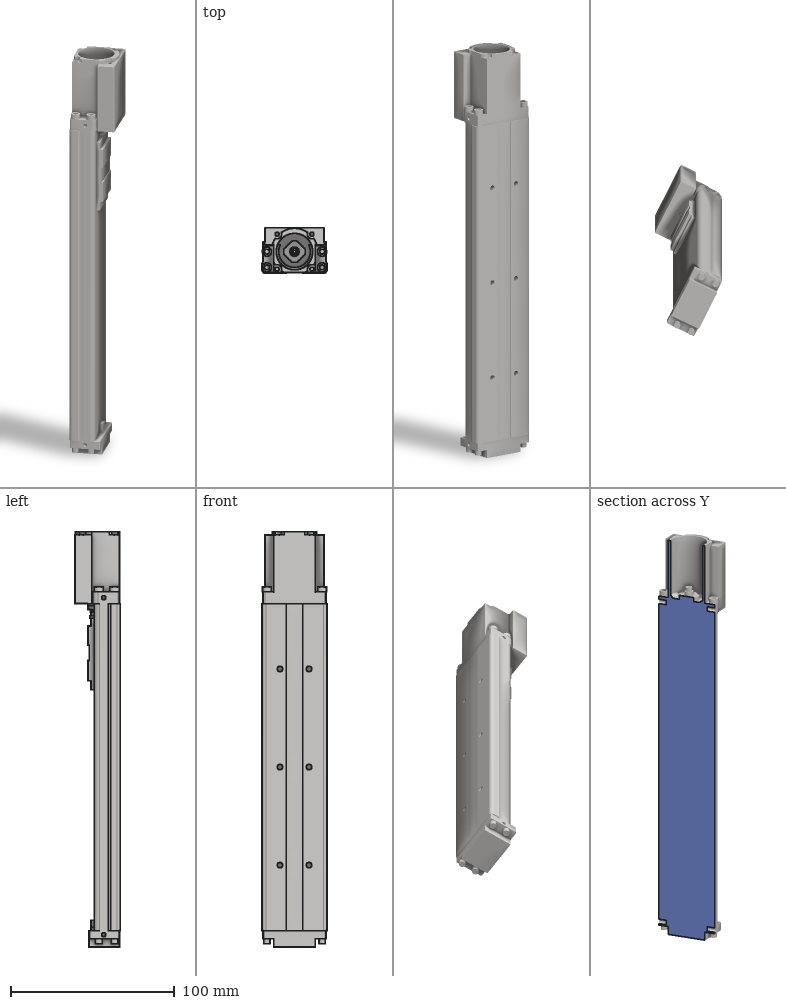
import cadquery as cq
TOTAL_LENGTH = 254.0
TOTAL_DEPTH = 28.0
RAIL_BOTTOM = 10.2
RAIL_TOP = 210.0
RAIL_CENTER = (RAIL_BOTTOM + RAIL_TOP) / 2

RAIL_FOOT_HALF = 19.95
RAIL_BODY_HALF = 19.3
RAIL_DEPTH = 16.0
RAIL_BACK_RADIUS = 3.0
RAIL_FOOT_RADIUS = 2.3
LEDGE_LOW = 5.8
LEDGE_HIGH = 7.4
LEDGE_BREAK_X = 19.5
LEDGE_BREAK_Y = (LEDGE_LOW + LEDGE_HIGH) / 2
GROOVE_WIDTH = 10.0
GROOVE_DEPTH = 0.3

MOUNT_DIAMETER = 3.3
MOUNT_DEPTH = 5.0
MOUNT_X = 9.0
MOUNT_PITCH = 60.0

CAP_FRONT = 0.5
CAP_HALF = RAIL_BODY_HALF
CAP_FRONT_RADIUS = 1.0
TOP_CAP_BACK = 16.8
TOP_CAP_END = 217.2
BOTTOM_CAP_BACK = 19.3
BOTTOM_CAP_START = 5.0
BOTTOM_CAP_RADIUS = 0.8
CENTER_HALF = 12.7
SIDE_HOLE_DIAMETER = 2.5
SIDE_HOLE_DEPTH = 5.0
SIDE_HOLE_Y = 10.2
TOP_SIDE_HOLE_Z = 213.5
BOTTOM_SIDE_HOLE_Z = 7.5

SCREW_X = 16.9
SCREW_YS = (3.5, 13.2)
TOP_HEAD_DIAMETER = 5.5
TOP_HEAD_END = 220.2
SOCKET_DIAMETER = 3.0
SOCKET_DEPTH = 1.5
BOTTOM_HEAD_DIAMETER = 4.0
BOTTOM_HEAD_START = 2.0

WING_HALF = 18.0
WING_FRONT = 17.5
WING_EDGE_CHAMFER = 0.38
HOUSING_TOP = 252.0
MOTOR_Y = 13.2
RING_RADIUS = 14.2
BORE_RADIUS = 11.2
BORE_FLOOR_RADIUS = 9.7
BORE_TAPER_HEIGHT = 1.5
BORE_FLOOR = TOP_CAP_END
MOTOR_HOLE_DIAMETER = 2.5
MOTOR_HOLE_DEPTH = 5.0
MOTOR_HOLE_OFFSET = 10.7
NOTCH_DIAMETER = 5.5

HUB_SQUARE = 11.5
HUB_TILT = 45.0
HUB_RADIUS = 6.5
HUB_HEIGHT = 2.5
SPINDLE_STEPS = ((5.5, 2.5), (4.0, 2.5))
SPINDLE_HOLE_DIAMETER = 2.0
SPINDLE_HOLE_DEPTH = 2.5

BUMPER_BACK = 18.0
BUMPER_START = 12.2
BUMPER_END = 16.5
BUMPER_HALF = 2.5
BUMPER_STEM_DIAMETER = 4.0

STOP_COLLAR_START = 208.8
STOP_HEAD_START = 206.2
STOP_HEAD_DIAMETER = 4.5
STOP_COLLAR_DIAMETER = 5.0
STOP_HEAD_Y = 17.5
STOP_STEM_DIAMETER = 2.1
STOP_FLANGE_DIAMETER = 3.0
STOP_FLANGE_START = 204.7
STOP_FLANGE_END = 205.2
STOP_STEM_Y = 17.0

CARRIAGE_HALF = 12.7
CARRIAGE_START = 157.2
CARRIAGE_PAD_START = 162.8
CARRIAGE_MID_START = 175.3
CARRIAGE_MID_END = 184.7
CARRIAGE_PAD_END = 196.3
CARRIAGE_END = 201.0
NOSE_END = 202.7
END_BACK = 18.0
PAD_BACK = 19.8
MID_BACK = 19.0
NOSE_BACK = 18.8
NOSE_HALF = 2.5


def box(half_x, y0, y1, z0, z1):
    """Box centred on X = 0 between two Y and two Z planes."""
    base = cq.Workplane("XY", origin=(0, y0, z0))
    return base.box(2 * half_x, y1 - y0, z1 - z0, centered=(True, False, False))


def cylinder(diameter, x, y, z0, z1):
    """Cylinder along Z."""
    return cq.Workplane("XY", origin=(x, y, z0)).circle(diameter / 2).extrude(z1 - z0)


def side_holes(z):
    """Blind holes in both X faces of an end cap."""
    holes = cq.Workplane("XY")
    for side in (-1, 1):
        start = cq.Workplane("YZ", origin=(side * CAP_HALF, SIDE_HOLE_Y, z))
        holes = holes.add(start.circle(SIDE_HOLE_DIAMETER / 2).extrude(-side * SIDE_HOLE_DEPTH))
    return holes.combine()


def make_rail():
    right_side = [
        (RAIL_FOOT_HALF, 0),
        (RAIL_FOOT_HALF, LEDGE_LOW),
        (LEDGE_BREAK_X, LEDGE_BREAK_Y),
        (RAIL_BODY_HALF, LEDGE_HIGH),
        (RAIL_BODY_HALF, RAIL_DEPTH),
    ]
    left_side = [(-x, y) for x, y in reversed(right_side)]
    section = cq.Workplane("XY", origin=(0, 0, RAIL_BOTTOM)).polyline(right_side + left_side).close()
    rail = section.extrude(RAIL_TOP - RAIL_BOTTOM)
    rail = rail.edges("|Z and >Y").fillet(RAIL_BACK_RADIUS)
    rail = rail.edges("|Z and <Y").fillet(RAIL_FOOT_RADIUS)
    rail = rail.cut(box(GROOVE_WIDTH / 2, 0, GROOVE_DEPTH, RAIL_BOTTOM, RAIL_TOP))
    mount_points = [
        (x, RAIL_CENTER + step * MOUNT_PITCH) for x in (-MOUNT_X, MOUNT_X) for step in (-1, 0, 1)
    ]
    holes = cq.Workplane("XZ").pushPoints(mount_points).circle(MOUNT_DIAMETER / 2).extrude(-MOUNT_DEPTH)
    return rail.cut(holes)


def make_bottom_cap():
    cap = box(CAP_HALF, CAP_FRONT, BOTTOM_CAP_BACK, BOTTOM_CAP_START, RAIL_BOTTOM)
    cap = cap.edges("|Z").fillet(BOTTOM_CAP_RADIUS)
    cap = cap.union(box(CENTER_HALF, CAP_FRONT, BOTTOM_CAP_BACK, 0, BOTTOM_CAP_START))
    for x in (-SCREW_X, SCREW_X):
        for y in SCREW_YS:
            cap = cap.union(cylinder(BOTTOM_HEAD_DIAMETER, x, y, BOTTOM_HEAD_START, BOTTOM_CAP_START))
    return cap.cut(side_holes(BOTTOM_SIDE_HOLE_Z))


def make_top_cap():
    cap = box(CAP_HALF, CAP_FRONT, TOP_CAP_BACK, RAIL_TOP, TOP_CAP_END)
    cap = cap.edges("|Z and <Y").fillet(CAP_FRONT_RADIUS)
    cap = cap.edges("|Z and >Y").fillet(RAIL_BACK_RADIUS)
    for x in (-SCREW_X, SCREW_X):
        for y in SCREW_YS:
            head = cylinder(TOP_HEAD_DIAMETER, x, y, TOP_CAP_END, TOP_HEAD_END)
            socket = cylinder(SOCKET_DIAMETER, x, y, TOP_HEAD_END - SOCKET_DEPTH, TOP_HEAD_END)
            cap = cap.union(head.cut(socket))
    return cap.cut(side_holes(TOP_SIDE_HOLE_Z))


def make_bore_seat():
    """Conical seat around the bore floor, left out where the bore runs between the wings."""
    seat_top = BORE_FLOOR + BORE_TAPER_HEIGHT
    funnel = cq.Workplane("XY", origin=(0, MOTOR_Y, BORE_FLOOR)).circle(BORE_FLOOR_RADIUS)
    funnel = funnel.workplane(offset=BORE_TAPER_HEIGHT).circle(BORE_RADIUS).loft()
    seat = cylinder(2 * BORE_RADIUS, 0, MOTOR_Y, BORE_FLOOR, seat_top).cut(funnel)
    return seat.intersect(box(CENTER_HALF, CAP_FRONT, WING_FRONT, BORE_FLOOR, seat_top))


def make_motor_housing():
    def outline(top):
        """Central block with its two rear wings, from the rail end up to the given height."""
        wing = box(WING_HALF, WING_FRONT, TOTAL_DEPTH, RAIL_TOP, top)
        wing = wing.edges("|Z and >Y").chamfer(WING_EDGE_CHAMFER)
        return wing.union(box(CENTER_HALF, CAP_FRONT, WING_FRONT, RAIL_TOP, top))

    pilot = cylinder(2 * RING_RADIUS, 0, MOTOR_Y, HOUSING_TOP, TOTAL_LENGTH)
    housing = outline(HOUSING_TOP).union(outline(TOTAL_LENGTH).intersect(pilot))
    housing = housing.cut(cylinder(2 * BORE_RADIUS, 0, MOTOR_Y, BORE_FLOOR, TOTAL_LENGTH))
    housing = housing.union(make_bore_seat())
    for x in (-MOTOR_HOLE_OFFSET, MOTOR_HOLE_OFFSET):
        for y in (MOTOR_Y - MOTOR_HOLE_OFFSET, MOTOR_Y + MOTOR_HOLE_OFFSET):
            housing = housing.cut(cylinder(NOTCH_DIAMETER, x, y, HOUSING_TOP, TOTAL_LENGTH))
            hole_floor = HOUSING_TOP - MOTOR_HOLE_DEPTH
            housing = housing.cut(cylinder(MOTOR_HOLE_DIAMETER, x, y, hole_floor, HOUSING_TOP))
    return housing


def make_hub():
    """Diamond hub, rounded at its points, that carries the stepped spindle end."""
    hub_top = BORE_FLOOR + HUB_HEIGHT
    diamond = cq.Workplane("XY").rect(HUB_SQUARE, HUB_SQUARE).extrude(HUB_HEIGHT)
    diamond = diamond.rotate((0, 0, 0), (0, 0, 1), HUB_TILT).translate((0, MOTOR_Y, BORE_FLOOR))
    hub = diamond.intersect(cylinder(2 * HUB_RADIUS, 0, MOTOR_Y, BORE_FLOOR, hub_top))
    z = hub_top
    for diameter, height in SPINDLE_STEPS:
        hub = hub.union(cylinder(diameter, 0, MOTOR_Y, z, z + height))
        z += height
    return hub.cut(cylinder(SPINDLE_HOLE_DIAMETER, 0, MOTOR_Y, z - SPINDLE_HOLE_DEPTH, z))


def make_bumper():
    stem_y = BUMPER_BACK - BUMPER_STEM_DIAMETER / 2
    stem = cylinder(BUMPER_STEM_DIAMETER, 0, stem_y, RAIL_BOTTOM, BUMPER_START)
    return stem.union(box(BUMPER_HALF, RAIL_DEPTH, BUMPER_BACK, BUMPER_START, BUMPER_END))


def make_stop_screw():
    screw = cylinder(STOP_COLLAR_DIAMETER, 0, STOP_HEAD_Y, STOP_COLLAR_START, RAIL_TOP)
    screw = screw.union(cylinder(STOP_HEAD_DIAMETER, 0, STOP_HEAD_Y, STOP_HEAD_START, STOP_COLLAR_START))
    screw = screw.union(cylinder(STOP_STEM_DIAMETER, 0, STOP_STEM_Y, NOSE_END, STOP_HEAD_START))
    return screw.union(cylinder(STOP_FLANGE_DIAMETER, 0, STOP_STEM_Y, STOP_FLANGE_START, STOP_FLANGE_END))


def make_actuator():
    """Rail, caps, motor housing and fixed fittings as one solid."""
    caps = [make_bottom_cap(), make_top_cap()]
    motor_end = [make_motor_housing(), make_hub()]
    fittings = [make_bumper(), make_stop_screw()]
    actuator = make_rail()
    for piece in caps + motor_end + fittings:
        actuator = actuator.union(piece)
    return actuator


def make_carriage():
    """Stepped carriage that rides on the back of the rail."""
    carriage = box(CARRIAGE_HALF, RAIL_DEPTH, END_BACK, CARRIAGE_START, CARRIAGE_END)
    carriage = carriage.union(box(CARRIAGE_HALF, RAIL_DEPTH, PAD_BACK, CARRIAGE_PAD_START, CARRIAGE_PAD_END))
    carriage = carriage.cut(box(CARRIAGE_HALF, MID_BACK, PAD_BACK, CARRIAGE_MID_START, CARRIAGE_MID_END))
    return carriage.union(box(NOSE_HALF, RAIL_DEPTH, NOSE_BACK, CARRIAGE_END, NOSE_END))


actuator = make_actuator()
carriage = make_carriage()

result = cq.Compound.makeCompound([actuator.val(), carriage.val()])